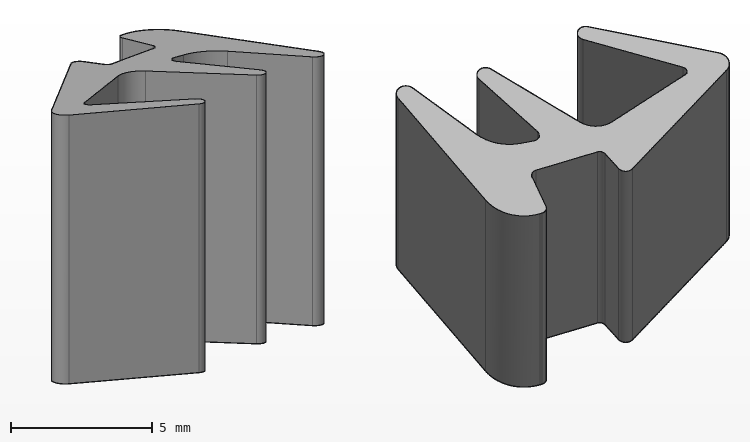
import cadquery as cq
import math

width = 7.27
height = 11.58
length = 10.0

apex_radius = 0.5
lower_lip_radius = 0.3
vee_radius = 0.2
neck_radius = 0.93
middle_lip_radius = 0.31
pocket_radius = 0.25
pocket_sweep_radius = 1.73
upper_lip_radius = 0.35
shoulder_radius = 1.65
channel_radius = 0.23
heel_radius = 0.31

channel_wall_x = 1.86
channel_top_y = 8.35
channel_bottom_center_y = 5.79
channel_center_x = channel_wall_x - channel_radius

SOLID = 1
HOLLOW = -1

corners = [
    (4.09, apex_radius, apex_radius, SOLID),
    (width - lower_lip_radius, 4.32, lower_lip_radius, SOLID),
    (4.18, 1.75, vee_radius, HOLLOW),
    (3.82, 5.12, neck_radius, HOLLOW),
    (6.48, 8.29, middle_lip_radius, SOLID),
    (3.37, 7.7, pocket_radius, HOLLOW),
    (4.89, 7.99, pocket_sweep_radius, HOLLOW),
    (6.68, height - upper_lip_radius, upper_lip_radius, SOLID),
    (shoulder_radius, 8.66, shoulder_radius, SOLID),
    (channel_radius, channel_top_y + channel_radius, channel_radius, SOLID),
    (channel_center_x, channel_top_y - channel_radius, channel_radius, HOLLOW),
    (channel_center_x, channel_bottom_center_y, channel_radius, HOLLOW),
    (1.0, 5.05, heel_radius, SOLID),
]


def tangent_direction(start, end):
    """Angle of the straight edge that leaves one corner circle and joins the next."""
    start_x, start_y, start_radius, start_turn = start
    end_x, end_y, end_radius, end_turn = end
    center_distance = math.hypot(end_x - start_x, end_y - start_y)
    center_angle = math.atan2(end_y - start_y, end_x - start_x)
    offset = end_turn * end_radius - start_turn * start_radius
    return center_angle - math.asin(offset / center_distance)


def point_on_corner(corner, direction):
    """Point of a corner circle where the outline travels in the given direction."""
    x, y, radius, turn = corner
    return (
        x + turn * radius * math.sin(direction),
        y - turn * radius * math.cos(direction),
    )


def rounded_outline(corners):
    """Closed outline of corner arcs joined by tangent straight edges."""
    count = len(corners)
    directions = [tangent_direction(corners[i], corners[(i + 1) % count]) for i in range(count)]
    outline = cq.Workplane("XY").moveTo(*point_on_corner(corners[0], directions[-1]))
    for i, corner in enumerate(corners):
        arriving = directions[i - 1]
        turn = corner[3]
        turned_angle = turn * ((turn * (directions[i] - arriving)) % (2 * math.pi))
        arc_middle = point_on_corner(corner, arriving + turned_angle / 2)
        arc_end = point_on_corner(corner, directions[i])
        next_start = point_on_corner(corners[(i + 1) % count], directions[i])
        outline = outline.threePointArc(arc_middle, arc_end)
        if i < count - 1:
            outline = outline.lineTo(*next_start)
    return outline.close()


result = rounded_outline(corners).extrude(length)